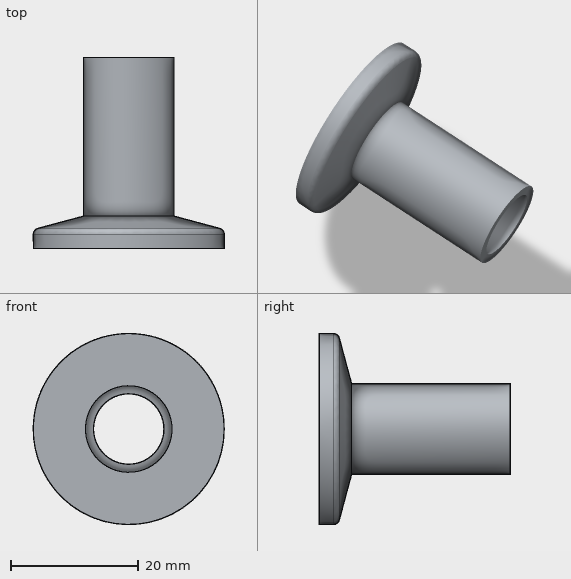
import cadquery as cq
import math

length = 30.0
flange_diameter = 30.0
tube_diameter = 14.28
bore_diameter = 11.0
counterbore_diameter = 13.6
counterbore_depth = 2.6
cone_end_height = 5.1
cone_angle = 15.0
rim_radius = 1.0

flange_radius = flange_diameter / 2
tube_radius = tube_diameter / 2
cone_drop = (flange_radius - tube_radius) * math.tan(math.radians(cone_angle))
rim_height = cone_end_height - cone_drop
front_y = -length / 2


def cylinder(diameter, depth):
    """Cylinder along +Y that starts at the flange face."""
    plane = cq.Workplane("XZ", origin=(0, front_y, 0))
    return plane.circle(diameter / 2).extrude(-depth)


def flange():
    """Disc with a conical back and a rounded rim."""
    profile = (
        cq.Workplane("XY", origin=(0, front_y, 0))
        .lineTo(flange_radius, 0)
        .lineTo(flange_radius, rim_height)
        .lineTo(tube_radius, cone_end_height)
        .lineTo(0, cone_end_height)
        .close()
    )
    disc = profile.revolve(360, (0, 0, 0), (0, 1, 0))
    rim_corner = cq.selectors.BoxSelector(
        (-length, front_y + rim_height / 2, -length),
        (length, front_y + (rim_height + cone_end_height) / 2, length),
    )
    return disc.edges("%CIRCLE").edges(rim_corner).fillet(rim_radius)


body = flange().union(cylinder(tube_diameter, length))
body = body.cut(cylinder(bore_diameter, length))
result = body.cut(cylinder(counterbore_diameter, counterbore_depth))